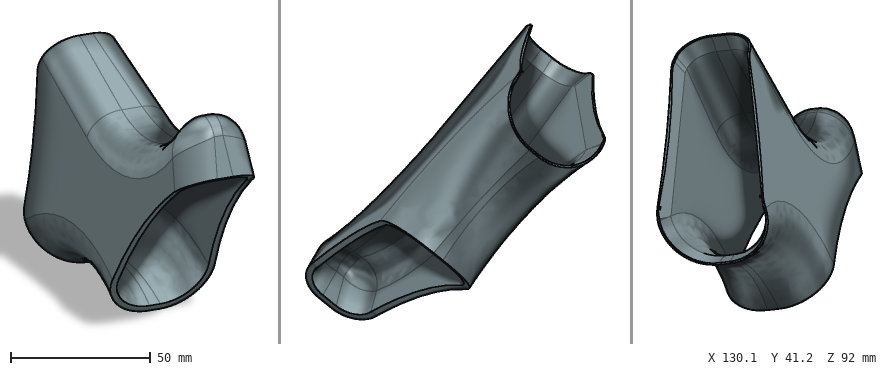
import cadquery as cq
import math


wall = 2.5
mouth_edge = 0.8
mouth_flare_depth = 6.7
flare_rate = (wall - mouth_edge) / mouth_flare_depth

half_width_at_base = 21.97
side_slope = 0.0995
side_lean = math.degrees(math.atan(side_slope))
crest_round = 12.0
floor_round = 18.1

spine_start = (9.2, 85.1)
spine_end = (49.0, 70.9)
nose_center = (116.9, 83.98)
nose_radius = 8.0
nose_face_angle = -68.0

floor_left = (15.7, 0.0)
floor_right = (68.3, 0.0)
floor_rise = 6.7

upper_cut_end = (-0.1, 72.0)
lower_cut_end = (-0.45, 16.2)
hollow_mid = (2.1, 45.0)
mouth_corner_round = 6.0

lip = (129.8, 72.67)
rear_bend = (119.5, 65.95)
rear_hollow_mid = (90.0, 37.35)

overrun = 40.0
far_reach = 250.0
flare_overrun = 1.0


def polar(start, distance, angle):
    """The XZ point at `distance` from `start` in the direction `angle` (degrees from +X toward +Z)."""
    radians = math.radians(angle)
    return (start[0] + distance * math.cos(radians), start[1] + distance * math.sin(radians))


def direction(start, end):
    """The angle in degrees of the line from `start` to `end`."""
    return math.degrees(math.atan2(end[1] - start[1], end[0] - start[0]))


def beyond(start, end):
    """The point that lies `overrun` past `end` on the line from `start`."""
    return polar(end, overrun, direction(start, end))


def edges_at(body, points):
    """The edges of `body` whose middle lies on one of the XZ `points`, at any Y."""
    tolerance = 0.5
    chosen = []
    for edge in body.edges().vals():
        middle = edge.positionAt(0.5)
        if any(math.dist((middle.x, middle.z), point) < tolerance for point in points):
            chosen.append(edge)
    return body.newObject(chosen)


spine_angle = direction(spine_start, spine_end)
nose_distance = math.dist(spine_end, nose_center)
nose_bearing = direction(spine_end, nose_center) - spine_angle
nose_height = nose_distance * math.sin(math.radians(nose_bearing))
bend_radius = (nose_distance**2 - nose_radius**2) / (2 * (nose_height + nose_radius))
bend_center = polar(spine_end, bend_radius, spine_angle + 90)
bend_first_angle = spine_angle - 90
bend_last_angle = direction(bend_center, nose_center)

nose_first_angle = bend_last_angle + 180
nose_last_angle = nose_face_angle + 90

floor_half_span = (floor_right[0] - floor_left[0]) / 2
floor_radius = (floor_half_span**2 + floor_rise**2) / (2 * floor_rise)
floor_center = (floor_left[0] + floor_half_span, floor_rise - floor_radius)
floor_first_angle = 45.0
floor_last_angle = 150.0


def side_wedge(inset):
    """The space between the leaning side walls, each moved inward by `inset`."""
    base = half_width_at_base - inset / math.cos(math.radians(side_lean))
    ridge = base / side_slope
    low_half_width = base + side_slope * overrun
    return (
        cq.Workplane("YZ")
        .polyline([(-low_half_width, -overrun), (low_half_width, -overrun), (0, ridge)])
        .close()
        .extrude(far_reach, both=True)
    )


def rounded_body(inset):
    """The solid body before the mouths are cut, with every face moved inward by `inset`."""
    bend = bend_radius + inset
    bend_start = polar(bend_center, bend, bend_first_angle)
    bend_mid = polar(bend_center, bend, (bend_first_angle + bend_last_angle) / 2)
    bend_end = polar(bend_center, bend, bend_last_angle)

    nose = nose_radius - inset
    nose_mid = polar(nose_center, nose, (nose_first_angle + nose_last_angle) / 2)
    nose_end = polar(nose_center, nose, nose_last_angle)

    arch = floor_radius + inset
    arch_start = polar(floor_center, arch, floor_first_angle)
    arch_mid = polar(floor_center, arch, (floor_first_angle + floor_last_angle) / 2)
    arch_end = polar(floor_center, arch, floor_last_angle)

    spine_far = polar(bend_start, -2 * overrun, spine_angle)
    spine_mid = polar(bend_start, -overrun, spine_angle)
    face_far = polar(nose_end, overrun, nose_face_angle)
    face_mid = polar(nose_end, overrun / 2, nose_face_angle)

    slab = (
        cq.Workplane("XZ")
        .moveTo(*spine_far)
        .lineTo(*bend_start)
        .threePointArc(bend_mid, bend_end)
        .threePointArc(nose_mid, nose_end)
        .lineTo(*face_far)
        .lineTo(*arch_start)
        .threePointArc(arch_mid, arch_end)
        .close()
        .extrude(2 * half_width_at_base, both=True)
    )
    body = slab.intersect(side_wedge(inset))
    body = edges_at(body, [spine_mid, bend_mid, nose_mid, face_mid]).fillet(crest_round - inset)
    return edges_at(body, [arch_mid]).fillet(floor_round - inset)


def trim_block():
    """The block whose front and rear faces cut the two mouths."""
    block = (
        cq.Workplane("XZ")
        .moveTo(*beyond(upper_cut_end, spine_start))
        .lineTo(*upper_cut_end)
        .threePointArc(hollow_mid, lower_cut_end)
        .lineTo(*beyond(lower_cut_end, floor_left))
        .lineTo(*beyond(rear_hollow_mid, floor_right))
        .lineTo(*floor_right)
        .threePointArc(rear_hollow_mid, rear_bend)
        .lineTo(*beyond(rear_bend, lip))
        .close()
        .extrude(2 * half_width_at_base, both=True)
    )
    return edges_at(block, [upper_cut_end, lower_cut_end]).fillet(mouth_corner_round)


def section(inset, point, facing_angle):
    """The outline of the inset body on the plane through `point` that faces along `facing_angle`."""
    facing = polar((0, 0), 1, facing_angle)
    plane = cq.Face.makePlane(
        far_reach,
        far_reach,
        basePnt=(point[0], 0, point[1]),
        dir=(facing[0], 0, facing[1]),
    )
    return plane.intersect(rounded_body(inset).val()).Faces()[0].outerWire()


def mouth_flare(cut_start, cut_end):
    """The space behind a straight cut that narrows from the mouth edge to the full wall.

    The body lies to the left of the line from `cut_start` to `cut_end`.
    """
    inward_angle = direction(cut_start, cut_end) + 90
    outside = polar(cut_start, -flare_overrun, inward_angle)
    inside = polar(cut_start, mouth_flare_depth, inward_angle)
    outer_outline = section(mouth_edge - flare_rate * flare_overrun, outside, inward_angle)
    inner_outline = section(wall, inside, inward_angle)
    return cq.Workplane(cq.Solid.makeLoft([outer_outline, inner_outline], True))


def cavity():
    """The inside of the hood, flared behind the three stretches of the front mouth."""
    hollow_x = (hollow_mid[0] + upper_cut_end[0]) / 2
    hollow_top = (hollow_x, upper_cut_end[1])
    hollow_bottom = (hollow_x, lower_cut_end[1])
    inside = rounded_body(wall)
    inside = inside.union(mouth_flare(spine_start, upper_cut_end))
    inside = inside.union(mouth_flare(hollow_top, hollow_bottom))
    return inside.union(mouth_flare(lower_cut_end, floor_left))


result = rounded_body(0).cut(cavity()).intersect(trim_block())